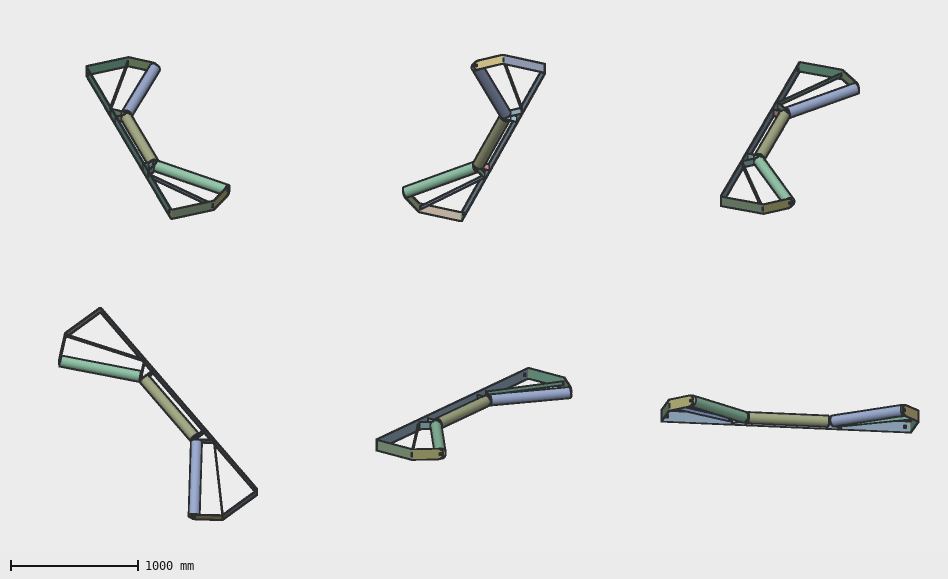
import cadquery as cq
import math


FRAME_LENGTH = 2000.0
STRIP_HEIGHT = 90.0
STRIP_Z = 3.0
STRIP_THICK = 5.0
SIDE_HEIGHT = 358.0
ARM_LENGTH = 248.0
BEND_RADIUS = 12.0
BOLT_X = 952.0
BOLT_WIDTH = 18.0
BOLT_HEIGHT = 25.0

ROLLER_DIAMETER = 90.0
ROLLER_LENGTH = 640.0
INNER_AXLE_Z = -3.0
AXLE_DIAMETER = 15.0
TROUGH_ANGLE = 40.0
MIDDLE_ROLLER_Y = 98.0
SIDE_ROLLER_TOP = 555.0
SIDE_ROLLER_GAP = 5.0

BRACKET_HEIGHT = 60.0
POST_X = 322.0
BRACKET_TOP = 125.0
BRACKET_FOOT_X = 440.0

BRACE_HEIGHT = 32.0
BRACE_Z = 0.0
BRACE_FOOT_X = 448.0
BRACE_TOP_Y = 350.0

tilt = math.radians(TROUGH_ANGLE)
roller_dir = cq.Vector(math.cos(tilt), math.sin(tilt), 0)
arm_dir = cq.Vector(-math.sin(tilt), math.cos(tilt), 0)

half_length = FRAME_LENGTH / 2
roller_radius = ROLLER_DIAMETER / 2
arm_bend = cq.Vector(half_length, SIDE_HEIGHT, 0)
arm_tip = arm_bend + arm_dir * ARM_LENGTH
end_y = SIDE_ROLLER_TOP - roller_radius * math.cos(tilt)
end_reach = arm_bend.dot(roller_dir) - STRIP_THICK - SIDE_ROLLER_GAP
end_x = (end_reach - end_y * roller_dir.y) / roller_dir.x
side_outer_end = cq.Vector(end_x, end_y, STRIP_Z)
side_inner_end = side_outer_end - roller_dir * ROLLER_LENGTH
side_inner_end.z = INNER_AXLE_Z
side_axis = (side_outer_end - side_inner_end).normalized()
leg_foot = cq.Vector(BRACKET_FOOT_X, STRIP_THICK, 0)
leg_rise = BRACKET_TOP - STRIP_THICK
leg_top = cq.Vector(BRACKET_FOOT_X - leg_rise * math.tan(tilt), BRACKET_TOP, 0)


def far_face(path):
    """Mitred copy of path, one strip thickness to the left of travel."""
    points = [cq.Vector(x, y, 0) for x, y in path]
    normals = []
    for start, end in zip(points, points[1:]):
        run = (end - start).normalized()
        normals.append(cq.Vector(-run.y, run.x, 0))
    before = [normals[0]] + normals
    after = normals + [normals[-1]]
    shifted = []
    for point, n1, n2 in zip(points, before, after):
        corner = point + (n1 + n2) * (STRIP_THICK / (1 + n1.dot(n2)))
        shifted.append((corner.x, corner.y))
    return shifted


def strip(path, height, mid_z):
    """Upright strip whose right-hand face follows path, thickened to the left of travel."""
    outline = path + far_face(path)[::-1]
    return (
        cq.Workplane("XY", origin=(0, 0, mid_z - height / 2))
        .polyline(outline).close().extrude(height)
    )


def rod(start, direction, length, diameter):
    """Round bar from start along direction."""
    return cq.Workplane(obj=cq.Solid.makeCylinder(diameter / 2, length, start, direction))


def mirrored(body):
    return body.mirror("YZ")


def make_roller(start, direction, axle_in, axle_out):
    """Plain roller with an axle stub reaching out of each end."""
    axle_length = axle_in + ROLLER_LENGTH + axle_out
    shell = rod(start, direction, ROLLER_LENGTH, ROLLER_DIAMETER)
    return shell.union(rod(start - direction * axle_in, direction, axle_length, AXLE_DIAMETER))


middle_start = cq.Vector(-ROLLER_LENGTH / 2, MIDDLE_ROLLER_Y, INNER_AXLE_Z)
middle_axle = POST_X + STRIP_THICK - ROLLER_LENGTH / 2
middle_roller = make_roller(middle_start, cq.Vector(1, 0, 0), middle_axle, middle_axle)
leg_reach = leg_foot.dot(roller_dir)
inner_axle = side_inner_end.dot(roller_dir) - leg_reach + STRIP_THICK
outer_axle = SIDE_ROLLER_GAP + STRIP_THICK
right_roller = make_roller(side_inner_end, side_axis, inner_axle, outer_axle)
rollers = [middle_roller, right_roller, mirrored(right_roller)]


def make_tip_tool():
    """Tool that trims the +X arm to a half-round tip and opens the axle slot in it."""
    radius = STRIP_HEIGHT / 2
    tip_plane = cq.Plane(origin=arm_tip + cq.Vector(0, 0, STRIP_Z), xDir=arm_dir, normal=roller_dir)
    corners = (
        cq.Workplane(tip_plane).center(-radius / 2, 0).rect(radius, STRIP_HEIGHT)
        .extrude(STRIP_THICK, both=True)
    )
    disc = cq.Workplane(tip_plane).center(-radius, 0).circle(radius).extrude(STRIP_THICK, both=True)
    axle_from_tip = (arm_tip - side_outer_end).dot(arm_dir)
    axle_plane = cq.Plane(origin=side_outer_end, xDir=arm_dir, normal=roller_dir)
    slot = (
        cq.Workplane(axle_plane).center(axle_from_tip / 2, 0).rect(axle_from_tip, AXLE_DIAMETER)
        .extrude(outer_axle)
    )
    return corners.cut(disc).union(slot).union(right_roller)


def round_bend(frame, corner, radius):
    bend_edge = cq.selectors.NearestToPointSelector((*corner, STRIP_Z))
    return frame.edges("|Z").edges(bend_edge).fillet(radius)


def make_frame():
    right_side = [(half_length, 0), arm_bend.toTuple()[:2], arm_tip.toTuple()[:2]]
    left_side = [(-x, y) for x, y in reversed(right_side)]
    path = left_side + right_side
    frame = strip(path, STRIP_HEIGHT, STRIP_Z)
    for outside, inside in list(zip(path, far_face(path)))[1:-1]:
        frame = round_bend(frame, outside, BEND_RADIUS)
        frame = round_bend(frame, inside, BEND_RADIUS - STRIP_THICK)
    tip_tool = make_tip_tool()
    bolt_slots = (
        cq.Workplane("XZ", origin=(0, STRIP_THICK, STRIP_Z))
        .pushPoints([(-BOLT_X, 0), (BOLT_X, 0)])
        .slot2D(BOLT_HEIGHT, BOLT_WIDTH, angle=90).extrude(STRIP_THICK)
    )
    return frame.cut(tip_tool).cut(mirrored(tip_tool)).cut(bolt_slots)


def make_bracket():
    """Bent strip: post beside the middle roller, short top, leg facing the side roller."""
    path = [leg_foot.toTuple()[:2], leg_top.toTuple()[:2], (POST_X, BRACKET_TOP), (POST_X, STRIP_THICK)]
    bracket = strip(path, BRACKET_HEIGHT, INNER_AXLE_Z)
    return bracket.cut(frame).cut(middle_roller).cut(right_roller)


def make_brace():
    path = [(BRACE_FOOT_X, 0), (half_length, BRACE_TOP_Y)]
    return strip(path, BRACE_HEIGHT, BRACE_Z).cut(frame)


frame = make_frame()
bracket = make_bracket()
brace = make_brace()
brackets = [bracket, mirrored(bracket)]
braces = [brace, mirrored(brace)]

bodies = [frame, *brackets, *braces, *rollers]
result = cq.Compound.makeCompound([body.val() for body in bodies])